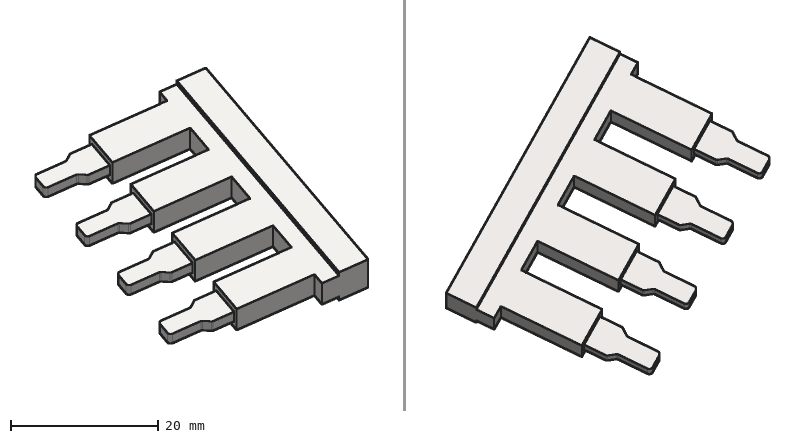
import cadquery as cq

bar_length = 42.1
total_depth = 29.5
rail_height = 5.5
rail_depth = 4.65
body_height = 4.15
body_depth = 7.35

finger_count = 4
finger_pitch = 10.75
finger_width = 5.98
finger_end = 19.75

pin_thickness = 1.9
pin_width = 4.67
neck_width = 2.9
shoulder_start = 3.45
shoulder_length = 1.18
shoulder_radius = 0.38
tip_radius = 0.5

first_finger_x = -finger_pitch * (finger_count - 1) / 2
finger_centers = [first_finger_x + i * finger_pitch for i in range(finger_count)]


def block(width, y_front, y_back, height, center_x=0.0):
    """Box centred on center_x and on the mid-height plane, between two depths."""
    center_y = (y_front + y_back) / 2
    return cq.Workplane("XY").box(width, y_back - y_front, height).translate((center_x, center_y, 0))


def contact_pin(center_x):
    """Flat pin with tapered shoulders; its shoulder and tip corners are rounded."""
    half_width = pin_width / 2
    half_neck = neck_width / 2
    y_root = -finger_end
    y_shoulder = y_root - shoulder_start
    y_neck = y_shoulder - shoulder_length
    y_tip = -total_depth
    outline = [
        (-half_width, y_root),
        (-half_width, y_shoulder),
        (-half_neck, y_neck),
        (-half_neck, y_tip),
        (half_neck, y_tip),
        (half_neck, y_neck),
        (half_width, y_shoulder),
        (half_width, y_root),
    ]
    pin = cq.Workplane("XY").polyline(outline).close().extrude(pin_thickness / 2, both=True)
    pin = pin.edges("|Z and <Y").fillet(tip_radius)
    shoulder_zone = cq.selectors.BoxSelector(
        (-pin_width, y_neck - shoulder_radius, -pin_thickness),
        (pin_width, y_shoulder + shoulder_radius, pin_thickness),
    )
    pin = pin.edges("|Z").edges(shoulder_zone).fillet(shoulder_radius)
    return pin.translate((center_x, 0, 0))


result = block(bar_length, -rail_depth, 0, rail_height)
result = result.union(block(bar_length, -body_depth, -rail_depth, body_height))
for finger_x in finger_centers:
    result = result.union(block(finger_width, -finger_end, -body_depth, body_height, finger_x))
    result = result.union(contact_pin(finger_x))